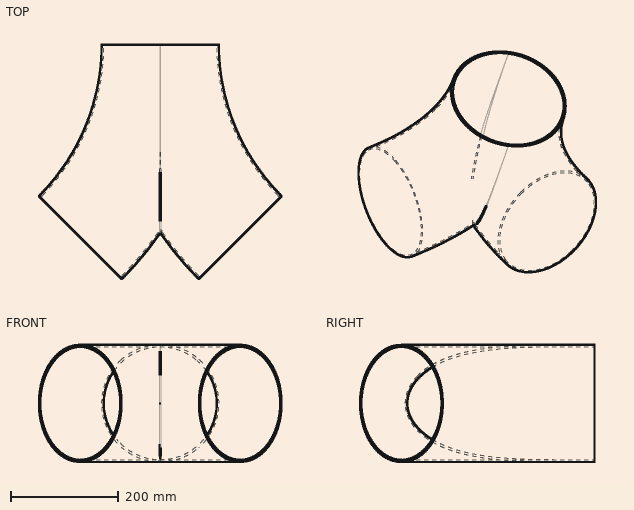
import cadquery as cq
import math

overall_width = 453.5
pipe_diameter = 219.0
wall = 4.0
bend_angle = 45
crotch_radius = 2.3

inlet_y = pipe_diameter
outer_radius = pipe_diameter / 2
inner_radius = outer_radius - wall
inner_crotch_radius = crotch_radius + wall
bend_cosine = math.cos(math.radians(bend_angle))
bend_radius = (overall_width / 2 - outer_radius * bend_cosine) / (1 - bend_cosine)
envelope = 4 * bend_radius
flat_tolerance = 0.05


def solid_elbow(radius):
    """Solid elbow that leaves the inlet along -Y and bends towards +X."""
    return (
        cq.Workplane("XZ", origin=(0, inlet_y, 0))
        .transformed(rotate=(0, 0, 180))
        .circle(radius)
        .revolve(bend_angle, (-bend_radius, 4.5, 0), (-bend_radius, -4.5, 0))
    )


def solid_branches(radius, blend_radius):
    """Both elbows as one solid, with the seam between them rounded."""
    right_space = cq.Workplane("XY").box(envelope, envelope, envelope, centered=(False, True, True))
    right_half = solid_elbow(radius).intersect(right_space)
    branches = right_half.union(right_half.mirror("YZ"))

    seam = [edge for edge in branches.edges().vals() if edge.BoundingBox().xlen < flat_tolerance]
    return branches.newObject(seam).fillet(blend_radius)


outside = solid_branches(outer_radius, crotch_radius)
bore = solid_branches(inner_radius, inner_crotch_radius)
result = outside.cut(bore)